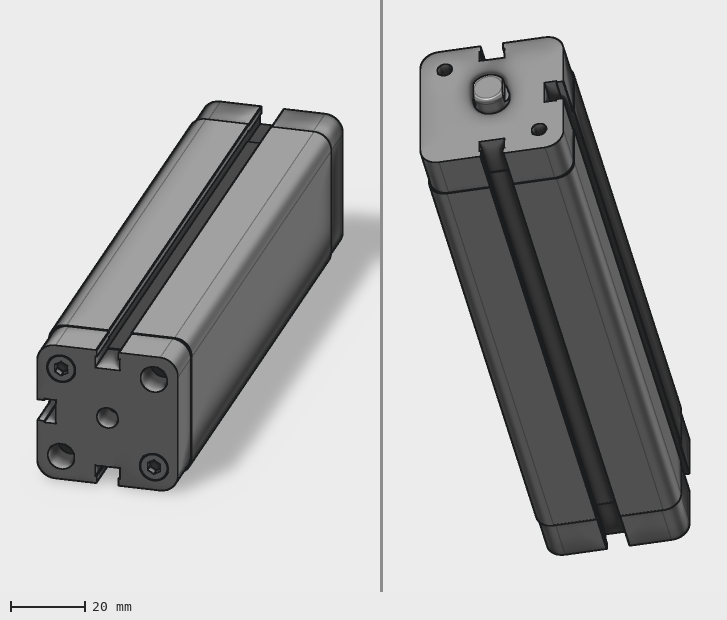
import cadquery as cq

TOTAL_LENGTH = 170.0
CAP_LENGTH = 12.8
ROD_LENGTH = 5.3
BARREL_LENGTH = TOTAL_LENGTH - ROD_LENGTH - 2 * CAP_LENGTH
FRONT_Y = -TOTAL_LENGTH / 2
BARREL_Y = FRONT_Y + CAP_LENGTH
REAR_CAP_Y = BARREL_Y + BARREL_LENGTH
ROD_Y = REAR_CAP_Y + CAP_LENGTH

BARREL_WIDTH = 40.1
BARREL_RADIUS = 5.0
CAP_STEP = 0.3
CAP_WIDTH = BARREL_WIDTH - 2 * CAP_STEP
CAP_RADIUS = 5.1

SLOT_MOUTH = 6.1
SLOT_CHAMFER = 0.2
SLOT_WIDTH = 7.0
SLOT_DEPTH = 5.3
SLOT_LIP = 2.0

CORNER_SPACING = 26.0
BORE_DIAMETER = 7.5
BORE_DEPTH = 10.2
THROUGH_DIAMETER = 4.0
SCREW_POCKET_DIAMETER = 8.0
SCREW_POCKET_DEPTH = 5.1
SCREW_HEAD_DIAMETER = 7.5
HEX_DIAGONAL = 4.0
HEX_DEPTH = 2.5
CENTRE_DIAMETER = 6.0
CENTRE_DEPTH = 10.2

ROD_DIAMETER = 10.0
ROD_TIP_RADIUS = 1.2
FLAT_WIDTH = 8.0
FLAT_LENGTH = 3.4
FLAT_RUNOUT = 1.0


def plane_at(y):
    """Plane facing +Y, with local x along -X and local y along +Z."""
    return cq.Workplane(cq.Plane(origin=(0, y, 0), xDir=(-1, 0, 0), normal=(0, 1, 0)))


def rounded_block(y, width, radius, length):
    return plane_at(y).rect(width, width).extrude(length).edges("|Y").fillet(radius)


def cylinder(x, z, y, diameter, length):
    return plane_at(y).center(-x, z).circle(diameter / 2).extrude(length)


def top_slot(y, width, length):
    """Cutter for the slot along the top face of a block of the given width and length."""
    face = width / 2
    half_mouth = SLOT_MOUTH / 2
    half_chamfer = half_mouth + SLOT_CHAMFER
    half_slot = SLOT_WIDTH / 2
    right_side = [
        (half_chamfer, face),
        (half_mouth, face - SLOT_CHAMFER),
        (half_mouth, face - SLOT_LIP),
        (half_slot, face - SLOT_LIP),
        (half_slot, face - SLOT_DEPTH),
    ]
    left_side = [(-x, z) for x, z in reversed(right_side)]
    return plane_at(y).polyline(right_side + left_side).close().extrude(length)


def slotted_block(y, width, radius, length):
    """Rounded square block with slots on its top, bottom and -X faces."""
    block = rounded_block(y, width, radius, length)
    slot = top_slot(y, width, length)
    for angle in (0, 90, 180):
        block = block.cut(slot.rotate((0, 0, 0), (0, 1, 0), -angle))
    return block


def socket_screw(x, z):
    """Screw head standing flush in its pocket, with a hexagon socket."""
    head = cylinder(x, z, FRONT_Y, SCREW_HEAD_DIAMETER, SCREW_POCKET_DEPTH)
    hexagon = plane_at(FRONT_Y).center(-x, z).transformed(rotate=(0, 0, 90)).polygon(6, HEX_DIAGONAL)
    return head.cut(hexagon.extrude(HEX_DEPTH))


def rod_end():
    """Rounded rod tip with opposite wrench flats that run out at 45 degrees."""
    rod = cylinder(0, 0, ROD_Y, ROD_DIAMETER, ROD_LENGTH).faces(">Y").fillet(ROD_TIP_RADIUS)
    tip_y = ROD_Y + ROD_LENGTH
    flat_y = tip_y - FLAT_LENGTH
    half_flat = FLAT_WIDTH / 2
    outer = half_flat + FLAT_RUNOUT
    flat = (
        cq.Workplane("XY")
        .polyline([(half_flat, tip_y), (half_flat, flat_y), (outer, flat_y - FLAT_RUNOUT), (outer, tip_y)])
        .close()
        .extrude(ROD_DIAMETER / 2, both=True)
    )
    return rod.cut(flat).cut(flat.mirror("YZ"))


result = slotted_block(FRONT_Y, CAP_WIDTH, CAP_RADIUS, CAP_LENGTH)
result = result.union(slotted_block(BARREL_Y, BARREL_WIDTH, BARREL_RADIUS, BARREL_LENGTH))
result = result.union(slotted_block(REAR_CAP_Y, CAP_WIDTH, CAP_RADIUS, CAP_LENGTH))

for side in (1, -1):
    x = side * CORNER_SPACING / 2
    result = result.cut(cylinder(x, x, FRONT_Y, BORE_DIAMETER, BORE_DEPTH))
    result = result.cut(cylinder(x, x, FRONT_Y, THROUGH_DIAMETER, TOTAL_LENGTH))
    result = result.cut(cylinder(x, -x, FRONT_Y, SCREW_POCKET_DIAMETER, SCREW_POCKET_DEPTH))
    result = result.union(socket_screw(x, -x))

result = result.cut(cylinder(0, 0, FRONT_Y, CENTRE_DIAMETER, CENTRE_DEPTH))
result = result.union(rod_end())